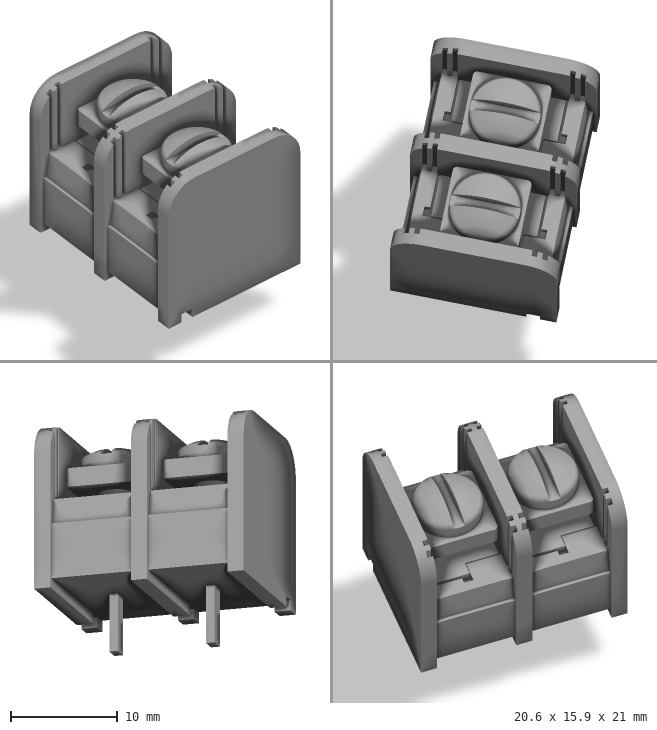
import cadquery as cq
import math


TOTAL_LENGTH = 20.6
POLE_COUNT = 2

WALL_THICKNESS = 1.6
WALL_DEPTH = 15.88
WALL_HEIGHT = 16.35
WALL_CORNER_RADIUS = 3.18
GROOVE_SIZE = 0.5
GROOVE_DEPTH = 0.55
INNER_GROOVE_Y = 5.61
OUTER_GROOVE_Y = 6.6
NOTCH_WIDTH = 1.32
NOTCH_Y = -5.72

BODY_BOTTOM = 0.98
BODY_HALF_DEPTH = 7.58
LEDGE_WIDTH = 0.31
LEDGE_HEIGHT = 6.33
BODY_TOP = 8.88
BODY_TOP_HALF_DEPTH = 6.85

RECESS_NARROW_LENGTH = 3.5
RECESS_NARROW_HALF_DEPTH = 3.83
RECESS_WIDE_HALF_DEPTH = 5.3
RELIEF_LENGTH = 0.95
RELIEF_HALF_DEPTH = 5.87

PLATE_RISE = 0.08
PLATE_STEP_GAP = 0.08
PLATE_WIDE_HALF_DEPTH = 5.05
SHEET_THICKNESS = 0.85
LEG_WIDTH = 1.57
LEG_DROP = 4.6
LEG_OFFSET = 0.05

WASHER_SIZE = 7.5
WASHER_CORNER_RADIUS = 0.42
WASHER_BOTTOM = 10.9
WASHER_TOP = 12.72
SHANK_DIAMETER = 3.41
HEAD_DIAMETER = 6.68
HEAD_RIM_TOP = 14.15
HEAD_TOP = 15.15
HEAD_EDGE_RADIUS = 0.5
SLOT_WIDTH = 1.09
SLOT_BOTTOM = 13.95

PITCH = (TOTAL_LENGTH - WALL_THICKNESS) / POLE_COUNT
CELL_LENGTH = PITCH - WALL_THICKNESS
WALL_CENTRES = [(i - POLE_COUNT / 2) * PITCH for i in range(POLE_COUNT + 1)]
POLE_CENTRES = [x + PITCH / 2 for x in WALL_CENTRES[:-1]]
PLATE_TOP = BODY_TOP + PLATE_RISE
PLATE_LENGTH = WASHER_SIZE
PLATE_NARROW_HALF_DEPTH = WASHER_SIZE / 2
RECESS_FLOOR = PLATE_TOP - SHEET_THICKNESS


def block(x_min, x_max, y_min, y_max, z_min, z_max):
    """Rectangular block between the given limits."""
    return (
        cq.Workplane("XY")
        .box(x_max - x_min, y_max - y_min, z_max - z_min, centered=False)
        .translate((x_min, y_min, z_min))
    )


def centred_block(x_min, x_max, half_depth, z_min, z_max):
    """Rectangular block that is symmetric about Y = 0."""
    return block(x_min, x_max, -half_depth, half_depth, z_min, z_max)


def barrier_wall(x_centre):
    """Upright wall with rounded top corners and a notch across its foot."""
    x_min = x_centre - WALL_THICKNESS / 2
    x_max = x_centre + WALL_THICKNESS / 2
    wall = centred_block(x_min, x_max, WALL_DEPTH / 2, 0, WALL_HEIGHT)
    wall = wall.edges("|X and >Z").fillet(WALL_CORNER_RADIUS)
    notch = block(x_min, x_max, NOTCH_Y - NOTCH_WIDTH / 2, NOTCH_Y + NOTCH_WIDTH / 2, 0, BODY_BOTTOM)
    return wall.cut(notch)


def housing_body():
    """Bar joining the walls, with a ledge and a sloping upper part on each long side."""
    slope_foot = BODY_HALF_DEPTH - LEDGE_WIDTH
    right_side = [
        (BODY_HALF_DEPTH, BODY_BOTTOM),
        (BODY_HALF_DEPTH, LEDGE_HEIGHT),
        (slope_foot, LEDGE_HEIGHT),
        (BODY_TOP_HALF_DEPTH, BODY_TOP),
    ]
    left_side = [(-y, z) for y, z in reversed(right_side)]
    return (
        cq.Workplane("YZ", origin=(WALL_CENTRES[0], 0, 0))
        .polyline(right_side + left_side)
        .close()
        .extrude(WALL_CENTRES[-1] - WALL_CENTRES[0])
    )


def wall_grooves(x_pole):
    """Upright grooves in the two wall faces that look into one pole's cell."""
    half_span = CELL_LENGTH / 2 + GROOVE_DEPTH
    grooves = cq.Workplane("XY")
    for side in (-1, 1):
        for distance in (INNER_GROOVE_Y, OUTER_GROOVE_Y):
            y = side * distance
            groove = block(
                x_pole - half_span, x_pole + half_span,
                y - GROOVE_SIZE / 2, y + GROOVE_SIZE / 2,
                BODY_TOP, WALL_HEIGHT,
            )
            grooves = grooves.add(groove)
    return grooves.combine()


def plate_recess(x_pole):
    """Stepped pocket for the contact plate, with relief corners at the step."""
    x_min = x_pole - CELL_LENGTH / 2
    x_max = x_pole + CELL_LENGTH / 2
    x_step = x_min + RECESS_NARROW_LENGTH
    narrow = centred_block(x_min, x_step, RECESS_NARROW_HALF_DEPTH, RECESS_FLOOR, BODY_TOP)
    wide = centred_block(x_step, x_max, RECESS_WIDE_HALF_DEPTH, RECESS_FLOOR, BODY_TOP)
    relief = centred_block(x_step, x_step + RELIEF_LENGTH, RELIEF_HALF_DEPTH, RECESS_FLOOR, BODY_TOP)
    return narrow.union(wide).union(relief)


def leg(x_pole):
    """Solder leg from the recess floor down; it also shapes its own hole in the housing."""
    x_min = x_pole + LEG_OFFSET - SHEET_THICKNESS / 2
    return centred_block(x_min, x_min + SHEET_THICKNESS, LEG_WIDTH / 2, -LEG_DROP, RECESS_FLOOR)


def make_housing():
    housing = housing_body()
    for x_wall in WALL_CENTRES:
        housing = housing.union(barrier_wall(x_wall))
    for x_pole in POLE_CENTRES:
        housing = housing.cut(wall_grooves(x_pole))
        housing = housing.cut(plate_recess(x_pole))
        housing = housing.cut(leg(x_pole))
    return housing


def contact_plate(x_pole):
    """T-shaped plate lying on the recess floor."""
    x_min = x_pole - PLATE_LENGTH / 2
    x_max = x_pole + PLATE_LENGTH / 2
    x_step = x_pole - CELL_LENGTH / 2 + RECESS_NARROW_LENGTH + PLATE_STEP_GAP
    narrow = centred_block(x_min, x_step, PLATE_NARROW_HALF_DEPTH, RECESS_FLOOR, PLATE_TOP)
    wide = centred_block(x_step, x_max, PLATE_WIDE_HALF_DEPTH, RECESS_FLOOR, PLATE_TOP)
    return narrow.union(wide)


def screw(x_pole):
    """Slotted screw with a domed head, standing on the contact plate."""
    rim_radius = HEAD_DIAMETER / 2
    dome_rise = HEAD_TOP - HEAD_RIM_TOP
    dome_radius = (rim_radius**2 + dome_rise**2) / (2 * dome_rise)
    half_angle = math.asin(rim_radius / dome_radius) / 2
    dome_middle = (
        dome_radius * math.sin(half_angle),
        HEAD_TOP - dome_radius * (1 - math.cos(half_angle)),
    )
    head = (
        cq.Workplane("XZ")
        .moveTo(0, WASHER_TOP)
        .lineTo(rim_radius, WASHER_TOP)
        .lineTo(rim_radius, HEAD_RIM_TOP)
        .threePointArc(dome_middle, (0, HEAD_TOP))
        .close()
        .revolve(360, (0, 0), (0, 1))
    )
    head = head.edges(">>Z[-2]").fillet(HEAD_EDGE_RADIUS)
    slot = centred_block(-SLOT_WIDTH / 2, SLOT_WIDTH / 2, HEAD_DIAMETER, SLOT_BOTTOM, HEAD_TOP)
    shank = (
        cq.Workplane("XY", origin=(0, 0, PLATE_TOP))
        .circle(SHANK_DIAMETER / 2)
        .extrude(WASHER_TOP - PLATE_TOP)
    )
    return head.cut(slot).union(shank).translate((x_pole, 0, 0))


def square_washer(x_pole):
    """Square clamping washer with rounded upright edges."""
    return (
        cq.Workplane("XY", origin=(x_pole, 0, WASHER_BOTTOM))
        .rect(WASHER_SIZE, WASHER_SIZE)
        .extrude(WASHER_TOP - WASHER_BOTTOM)
        .edges("|Z")
        .fillet(WASHER_CORNER_RADIUS)
    )


def make_terminal(x_pole):
    """Leg, plate, washer and screw of one pole, as one solid."""
    return contact_plate(x_pole).union(leg(x_pole)).union(square_washer(x_pole)).union(screw(x_pole))


housing = make_housing()
terminals = [make_terminal(x_pole) for x_pole in POLE_CENTRES]

result = cq.Compound.makeCompound([housing.val(), *[terminal.val() for terminal in terminals]])